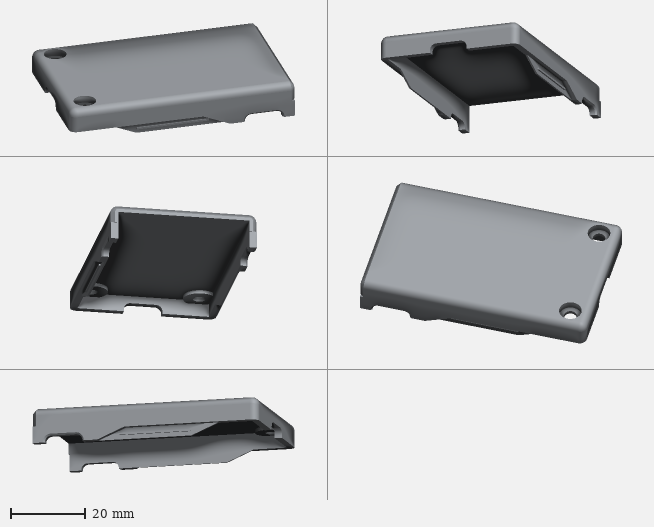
import cadquery as cq

length = 62.95
width = 40.0
height = 9.6

wall = 2.0
edge_radius = 2.0
shell_depth = 6.5
shell_bottom = height - shell_depth

lip_chamfer = 1.15
lip_depth = 5.05
lip_overhang = 0.2

skirt_front_bottom = 13.2
ramp_length = 7.55

tab_thickness = 0.5
tab_front_bottom = -12.6
ridge_length = 20.15
ridge_height = 0.5
ridge_protrusion = 0.45
ridge_bottom = 1.2

front_notch_width = 10.6
front_notch_height = 2.45
front_notch_radius = 1.8
side_notch_y = 22.7
side_notch_width = 10.5
side_notch_height = 1.9
side_notch_radius = 1.75
side_notch_chamfer = 0.45

boss_diameter = 8.8
counterbore_diameter = 6.1
counterbore_depth = 2.0
screw_diameter = 3.4
screw_floor = 0.95
screw_from_side = 5.2
screw_from_front = 5.5

half_width = width / 2
front = -length / 2
rear = length / 2
inner_x = half_width - wall
lip_bottom = height - lip_depth


def box(x_range, y_range, z_range):
    """Box spanning the given (low, high) ranges."""
    sizes = [high - low for low, high in (x_range, y_range, z_range)]
    corner = (x_range[0], y_range[0], z_range[0])
    return cq.Workplane("XY").box(*sizes, centered=False).translate(corner)


def skirt_wall(rear_y, front_bottom, thickness):
    """Wall on the inner +X face, dropping to Z = 0 and ending in front with a ramp."""
    ramp_top = front_bottom - ramp_length
    return (
        cq.Workplane("YZ", origin=(inner_x, 0, 0))
        .moveTo(rear_y, 0)
        .lineTo(rear_y, lip_bottom)
        .lineTo(ramp_top, lip_bottom)
        .lineTo(ramp_top, shell_bottom)
        .lineTo(front_bottom, 0)
        .close()
        .extrude(thickness)
    )


def notch_outline(plane, center, bottom, notch_width, notch_height, radius):
    """Slot open at the bottom, with both upper corners rounded."""
    left = center - notch_width / 2
    right = center + notch_width / 2
    top = bottom + notch_height
    return (
        plane.moveTo(left, bottom)
        .lineTo(left, top - radius)
        .radiusArc((left + radius, top), radius)
        .lineTo(right - radius, top)
        .radiusArc((right, top - radius), radius)
        .lineTo(right, bottom)
        .close()
    )


def on_both_sides(solid):
    """The solid together with its mirror image across the YZ plane."""
    return solid.union(solid.mirror("YZ"))


body = box((-half_width, half_width), (front, rear), (shell_bottom, height))
body = body.edges("|Z and <Y").fillet(edge_radius)
body = body.faces(">Z").edges("not >Y").fillet(edge_radius)
body = body.faces(">Y").edges("not <Z").chamfer(lip_chamfer)
body = body.cut(
    box((-half_width, half_width), (rear - lip_chamfer, rear), (shell_bottom, lip_bottom))
)
cavity = box((-inner_x, inner_x), (front + wall, rear), (shell_bottom, height - wall))
body = body.cut(cavity)

skirt = skirt_wall(rear - lip_overhang, skirt_front_bottom, wall)
tab = skirt_wall(skirt_front_bottom, tab_front_bottom, tab_thickness)
ridge = box(
    (inner_x, inner_x + tab_thickness + ridge_protrusion),
    (tab_front_bottom, tab_front_bottom + ridge_length),
    (ridge_bottom, ridge_bottom + ridge_height),
)
body = body.union(on_both_sides(skirt.union(tab).union(ridge)))

side_notch = (side_notch_y, 0, side_notch_width, side_notch_height, side_notch_radius)
rim_outline = (
    side_notch_y,
    0,
    side_notch_width + 2 * side_notch_chamfer,
    side_notch_height + side_notch_chamfer,
    side_notch_radius + side_notch_chamfer,
)
rim_x = half_width - side_notch_chamfer
notch_core = notch_outline(cq.Workplane("YZ", origin=(inner_x, 0, 0)), *side_notch).extrude(wall)
rim_start = notch_outline(cq.Workplane("YZ", origin=(rim_x, 0, 0)), *side_notch)
rim_end = rim_start.workplane(offset=side_notch_chamfer)
notch_rim = notch_outline(rim_end, *rim_outline).loft(ruled=True)
body = body.cut(on_both_sides(notch_core.union(notch_rim)))

front_notch = notch_outline(
    cq.Workplane("XZ", origin=(0, front + wall, 0)),
    0,
    shell_bottom,
    front_notch_width,
    front_notch_height,
    front_notch_radius,
).extrude(wall)
body = body.cut(front_notch)

screw_x = half_width - screw_from_side
screw_y = front + screw_from_front
boss_bottom = height - counterbore_depth - screw_floor
screw_places = [(-screw_x, screw_y), (screw_x, screw_y)]
bosses = (
    cq.Workplane("XY", origin=(0, 0, boss_bottom))
    .pushPoints(screw_places)
    .circle(boss_diameter / 2)
    .extrude(height - wall - boss_bottom)
    .intersect(box((-inner_x, inner_x), (front + wall, rear), (0, height)))
)
result = (
    body.union(bosses)
    .faces(">Z")
    .workplane(origin=(0, 0, height))
    .pushPoints(screw_places)
    .cboreHole(screw_diameter, counterbore_diameter, counterbore_depth)
)